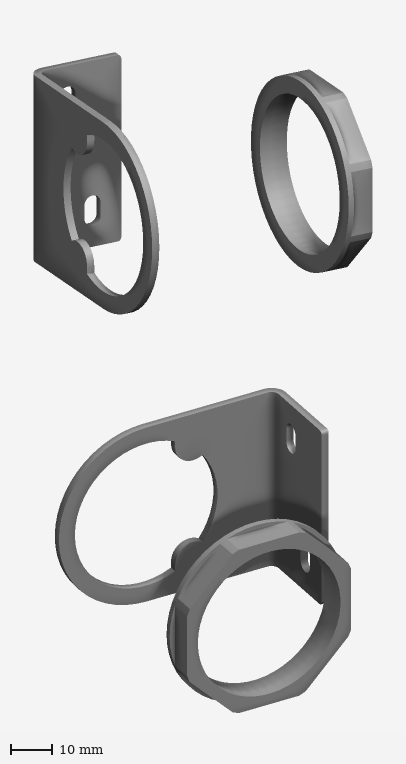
import cadquery as cq

outer_radius = 24.5
bore_radius = 20.0
bracket_length = 62.5
axis_x = bracket_length - outer_radius

sheet = 2.0
leg_depth = 25.0
bend_radius = 4.0
leg_corner_radius = 1.0

lobe_radius = 5.0
lobe_offset_x = 13.1
lobe_offset_z = 16.5

slot_length = 8.0
slot_width = 4.5
slot_centers = [(10.0, 15.0), (17.0, -15.0)]

ring_front_y = 54.7
ring_depth = 7.5
flange_thickness = 1.5
flats_count = 8
across_flats = 46.0


def cylinder_along_y(radius, start_y, depth):
    """Solid cylinder on the common axis, growing toward +Y."""
    return (
        cq.Workplane("XZ", origin=(axis_x, start_y, 0))
        .circle(radius)
        .extrude(-depth)
    )


def make_angle():
    """Bent sheet with a straight leg and a round-ended plate."""
    leg = (
        cq.Workplane("XY", origin=(0, 0, -outer_radius))
        .rect(axis_x, leg_depth, centered=False)
        .extrude(2 * outer_radius)
        .edges("|Z and <X and <Y")
        .fillet(bend_radius)
    )
    inside = (
        cq.Workplane("XY", origin=(sheet, sheet, -outer_radius))
        .rect(axis_x, leg_depth, centered=False)
        .extrude(2 * outer_radius)
        .edges("|Z and <X and <Y")
        .fillet(bend_radius - sheet)
    )
    angle = leg.cut(inside).edges("|X and >Y").fillet(leg_corner_radius)
    return angle.union(cylinder_along_y(outer_radius, 0, sheet))


def make_lobe(side):
    """Lobe with a rounded tip facing the axis; side is +1 for top, -1 for bottom."""
    lobe_x = axis_x - lobe_offset_x
    straight_length = outer_radius - lobe_offset_z
    tip = (
        cq.Workplane("XZ", origin=(lobe_x, 0, side * lobe_offset_z))
        .circle(lobe_radius)
        .extrude(-sheet)
    )
    root = (
        cq.Workplane("XZ", origin=(lobe_x, 0, side * (lobe_offset_z + straight_length / 2)))
        .rect(2 * lobe_radius, straight_length)
        .extrude(-sheet)
    )
    return tip.union(root)


def make_bracket():
    opening = cylinder_along_y(bore_radius, 0, sheet)
    for side in (1, -1):
        opening = opening.cut(make_lobe(side))
    slots = (
        cq.Workplane("YZ")
        .pushPoints(slot_centers)
        .slot2D(slot_length, slot_width, 90)
        .extrude(sheet)
    )
    return make_angle().cut(opening).cut(slots)


def make_ring():
    collar_y = ring_front_y + flange_thickness
    collar_depth = ring_depth - flange_thickness
    flange = cylinder_along_y(outer_radius, ring_front_y, flange_thickness)
    octagon = (
        cq.Workplane("XZ", origin=(axis_x, collar_y, 0))
        .polygon(flats_count, across_flats, circumscribed=True)
        .extrude(-collar_depth)
    )
    collar = octagon.intersect(cylinder_along_y(outer_radius, collar_y, collar_depth))
    return flange.union(collar).cut(cylinder_along_y(bore_radius, ring_front_y, ring_depth))


bracket = make_bracket()
ring = make_ring()

result = cq.Compound.makeCompound([bracket.val(), ring.val()])